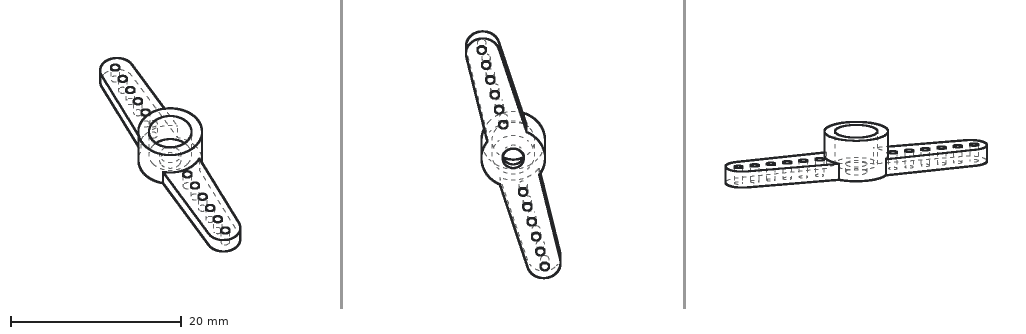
import cadquery as cq

horn_length = 32.0
hub_diameter = 7.5
hub_height = 5.0

arm_thickness = 2.0
tip_radius = 2.0
arm_center_width = 5.0

socket_diameter = 5.0
screw_hole_diameter = 2.5
socket_floor = arm_thickness / 2

link_hole_diameter = 1.0
link_hole_count = 6
outer_hole_x = 14.5
inner_hole_x = 4.5

link_hole_pitch = (outer_hole_x - inner_hole_x) / (link_hole_count - 1)
tip_center_x = horn_length / 2 - tip_radius
half_center_width = arm_center_width / 2


def make_arms():
    """Double arm, widest at the hub axis, with round ends."""
    return (
        cq.Workplane("XY")
        .moveTo(0, half_center_width)
        .lineTo(tip_center_x, tip_radius)
        .threePointArc((horn_length / 2, 0), (tip_center_x, -tip_radius))
        .lineTo(0, -half_center_width)
        .lineTo(-tip_center_x, -tip_radius)
        .threePointArc((-horn_length / 2, 0), (-tip_center_x, tip_radius))
        .close()
        .extrude(arm_thickness)
    )


def make_hub():
    return cq.Workplane("XY").circle(hub_diameter / 2).extrude(hub_height)


def cut_hub_bore(body):
    """Cut the socket from the top and the screw hole through its floor."""
    screw_hole = cq.Workplane("XY").circle(screw_hole_diameter / 2).extrude(hub_height)
    socket = (
        cq.Workplane("XY")
        .workplane(offset=socket_floor)
        .circle(socket_diameter / 2)
        .extrude(hub_height - socket_floor)
    )
    return body.cut(screw_hole).cut(socket)


def cut_link_holes(body):
    """Cut the mirrored rows of through holes along the arms."""
    row = [inner_hole_x + i * link_hole_pitch for i in range(link_hole_count)]
    centers = [(side * x, 0) for side in (-1, 1) for x in row]
    holes = (
        cq.Workplane("XY")
        .pushPoints(centers)
        .circle(link_hole_diameter / 2)
        .extrude(arm_thickness)
    )
    return body.cut(holes)


horn = make_arms().union(make_hub())
horn = cut_hub_bore(horn)
result = cut_link_holes(horn)